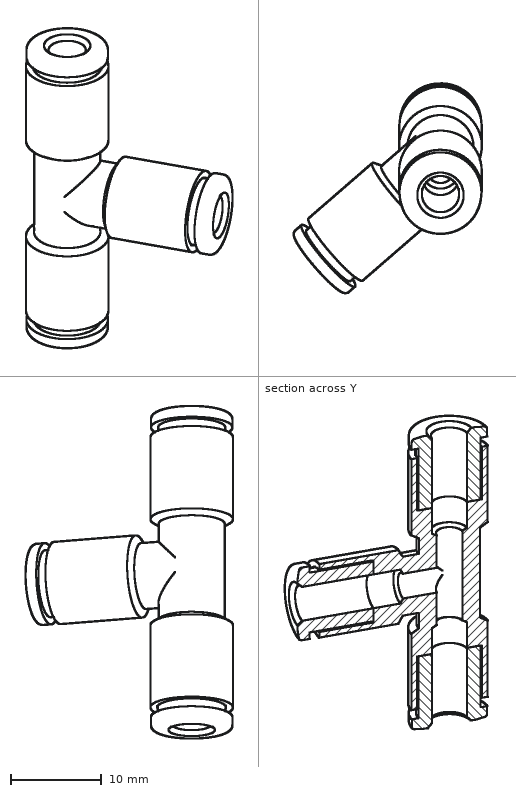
import cadquery as cq

port_reach = 18.0

stem_diameter = 7.3
socket_diameter = 9.1
ring_bore_diameter = 7.6
socket_base = 5.5
socket_cone_length = 0.55
socket_mouth = 15.45
flow_diameter = 3.0
tube_diameter = 4.1
tube_stop = socket_base
tube_stop_cone_length = 0.32

ring_seat = 9.0
neck_diameter = 7.4
flange_diameter = 9.0
flange_thickness = 1.48
flange_rounding = 0.45
face_diameter = 6.4
face_slope_drop = 0.13
entry_diameter = 5.1
entry_depth = 0.55

PORT_ANGLES = [0, 90, 180]


def turned(shape, angle):
    """Turn a port that points along +Z about the Y axis."""
    return shape.rotate((0, 0, 0), (0, 1, 0), angle)


def port_outside():
    """Stem and socket of one port, with a cone between them."""
    stem_radius = stem_diameter / 2
    socket_radius = socket_diameter / 2
    return (
        cq.Workplane("XZ")
        .moveTo(0, 0)
        .lineTo(stem_radius, 0)
        .lineTo(stem_radius, socket_base)
        .lineTo(socket_radius, socket_base + socket_cone_length)
        .lineTo(socket_radius, socket_mouth)
        .lineTo(0, socket_mouth)
        .close()
        .revolve(360, (0, 0), (0, 1))
    )


def port_cavity():
    """Flow passage, conical tube stop, tube bore and ring seat of one port."""
    flow_radius = flow_diameter / 2
    tube_radius = tube_diameter / 2
    ring_bore_radius = ring_bore_diameter / 2
    return (
        cq.Workplane("XZ")
        .moveTo(0, 0)
        .lineTo(flow_radius, 0)
        .lineTo(flow_radius, tube_stop)
        .lineTo(tube_radius, tube_stop + tube_stop_cone_length)
        .lineTo(tube_radius, ring_seat)
        .lineTo(ring_bore_radius, ring_seat)
        .lineTo(ring_bore_radius, socket_mouth)
        .lineTo(0, socket_mouth)
        .close()
        .revolve(360, (0, 0), (0, 1))
    )


def make_housing():
    """Tee housing: the outsides of all ports joined, then hollowed."""
    body = turned(port_outside(), PORT_ANGLES[0])
    for angle in PORT_ANGLES[1:]:
        body = body.union(turned(port_outside(), angle))
    for angle in PORT_ANGLES:
        body = body.cut(turned(port_cavity(), angle))
    return body


def make_release_ring():
    """Release ring of the +Z port: neck in the socket, rounded flange outside."""
    tube_radius = tube_diameter / 2
    neck_radius = neck_diameter / 2
    flange_radius = flange_diameter / 2
    rounding_top = port_reach - face_slope_drop
    flange_bottom = port_reach - flange_thickness
    arc_inset = flange_rounding * (1 - 0.5 ** 0.5)
    return (
        cq.Workplane("XZ")
        .moveTo(tube_radius, ring_seat)
        .lineTo(neck_radius, ring_seat)
        .lineTo(neck_radius, flange_bottom)
        .lineTo(flange_radius, flange_bottom)
        .lineTo(flange_radius, rounding_top - flange_rounding)
        .threePointArc(
            (flange_radius - arc_inset, rounding_top - arc_inset),
            (flange_radius - flange_rounding, rounding_top),
        )
        .lineTo(face_diameter / 2, port_reach)
        .lineTo(entry_diameter / 2, port_reach)
        .lineTo(tube_radius, port_reach - entry_depth)
        .close()
        .revolve(360, (0, 0), (0, 1))
    )


housing = make_housing()
release_rings = [turned(make_release_ring(), angle) for angle in PORT_ANGLES]

result = cq.Compound.makeCompound([housing.val(), *[ring.val() for ring in release_rings]])